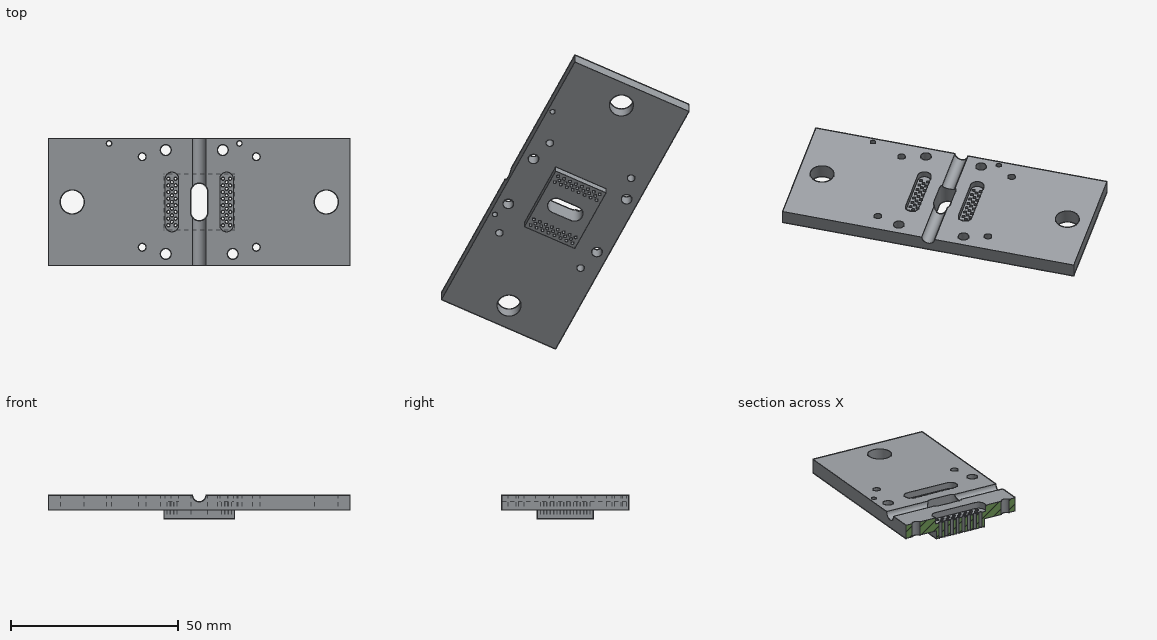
import cadquery as cq

plate_length = 90.0
plate_width = 38.0
plate_thickness = 4.5
total_height = 7.1
pad_length = 21.1
pad_width = 16.7

groove_radius = 2.0
window_width = 5.0
window_length = 11.2

pocket_offset = 8.145
pocket_width = 4.05
pocket_length = 17.8
pocket_depth = 2.0

pin_diameter = 0.88
pin_row_pitch = 2.0
pin_column_pitch = 2.2
outer_rows = 8

mount_diameter = 7.1
mount_offset = 37.9

screw_diameter = 3.15
screw_x = 10.0
screw_y = 15.5
offset_screw_x = 7.0

dowel_diameter = 2.25
dowel_x = 17.0
dowel_y = 13.5

edge_hole_diameter = 1.5
edge_hole_y = 17.5
left_edge_hole_x = -26.9
right_edge_hole_x = 12.0


def drill(points, diameter):
    """Cylinders through the full height at the given XY points."""
    return cq.Workplane("XY").pushPoints(points).circle(diameter / 2).extrude(-total_height)


def slot(x, length, width, depth):
    """Round-ended slot along Y, cut down from the top face."""
    return cq.Workplane("XY").center(x, 0).slot2D(length, width, 90).extrude(-depth)


def pin_points(x):
    """Staggered pin positions centred on a pocket at x."""
    points = []
    for column, rows in ((-1, outer_rows), (0, outer_rows - 1), (1, outer_rows)):
        for row in range(rows):
            y = (row - (rows - 1) / 2) * pin_row_pitch
            points.append((x + column * pin_column_pitch / 2, y))
    return points


plate = cq.Workplane("XY").rect(plate_length, plate_width).extrude(-plate_thickness)
pad = cq.Workplane("XY").rect(pad_length, pad_width).extrude(-total_height)
result = plate.union(pad)

groove = cq.Workplane("XZ").circle(groove_radius).extrude(plate_width / 2, both=True)
result = result.cut(groove)
result = result.cut(slot(0, window_length, window_width, total_height))

for pocket_x in (-pocket_offset, pocket_offset):
    result = result.cut(slot(pocket_x, pocket_length, pocket_width, pocket_depth))
    result = result.cut(drill(pin_points(pocket_x), pin_diameter))

mount_points = [(-mount_offset, 0), (mount_offset, 0)]
screw_points = [
    (-screw_x, -screw_y),
    (screw_x, -screw_y),
    (-screw_x, screw_y),
    (offset_screw_x, screw_y),
]
dowel_points = [(x, y) for x in (-dowel_x, dowel_x) for y in (-dowel_y, dowel_y)]
edge_points = [(left_edge_hole_x, edge_hole_y), (right_edge_hole_x, edge_hole_y)]

result = result.cut(drill(mount_points, mount_diameter))
result = result.cut(drill(screw_points, screw_diameter))
result = result.cut(drill(dowel_points, dowel_diameter))
result = result.cut(drill(edge_points, edge_hole_diameter))